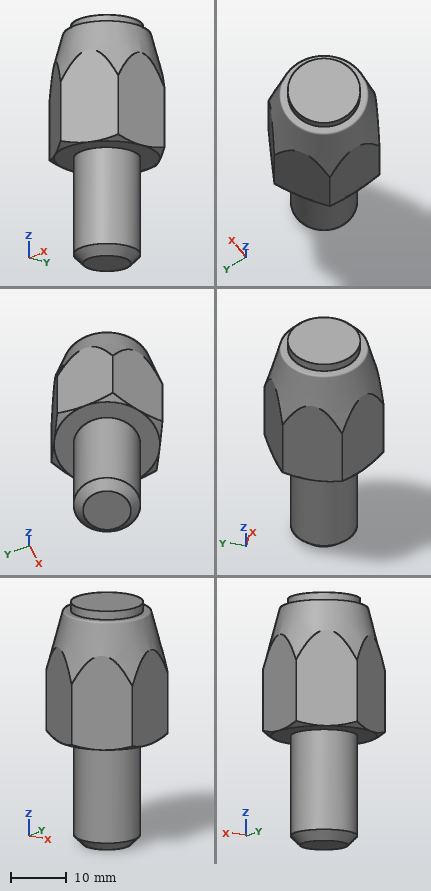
import cadquery as cq
import math

total_height = 45.0
stud_length = 20.0
shoulder_height = 43.42
stud_chamfer = 1.7

stud_diameter = 12.0
pad_diameter = 13.0
hex_sides = 6
across_flats = 19.0
flat_radius = across_flats / 2
corner_radius = flat_radius / math.cos(math.pi / hex_sides)

cone_angle = 15.0
cone_flat_height = 37.55
bevel_angle = 30.0
shoulder_fillet = 0.4
envelope_margin = 0.45


def cone_radius(z):
    """Radius of the upper cone at height z."""
    return flat_radius - (z - cone_flat_height) * math.tan(math.radians(cone_angle))


def make_stud():
    stud = cq.Workplane("XY").circle(stud_diameter / 2).extrude(stud_length)
    return stud.faces("<Z").chamfer(stud_chamfer)


def make_hex_body():
    """Hexagon with corners on Y, trimmed by a turned envelope."""
    hexagon = (
        cq.Workplane("XY", origin=(0, 0, stud_length))
        .transformed(rotate=(0, 0, 90))
        .polygon(hex_sides, 2 * corner_radius)
        .extrude(shoulder_height - stud_length)
    )
    envelope_radius = corner_radius + envelope_margin
    bevel_rise = (envelope_radius - flat_radius) * math.tan(math.radians(bevel_angle))
    cone_drop = (envelope_radius - flat_radius) / math.tan(math.radians(cone_angle))
    envelope = (
        cq.Workplane("XZ")
        .moveTo(0, stud_length)
        .lineTo(flat_radius, stud_length)
        .lineTo(envelope_radius, stud_length + bevel_rise)
        .lineTo(envelope_radius, cone_flat_height - cone_drop)
        .lineTo(cone_radius(shoulder_height), shoulder_height)
        .lineTo(0, shoulder_height)
        .close()
        .revolve(360, (0, 0), (0, 1))
        .faces(">Z")
        .edges()
        .fillet(shoulder_fillet)
    )
    return hexagon.intersect(envelope)


def make_pad():
    return (
        cq.Workplane("XY", origin=(0, 0, shoulder_height))
        .circle(pad_diameter / 2)
        .extrude(total_height - shoulder_height)
    )


result = make_stud().union(make_hex_body()).union(make_pad())